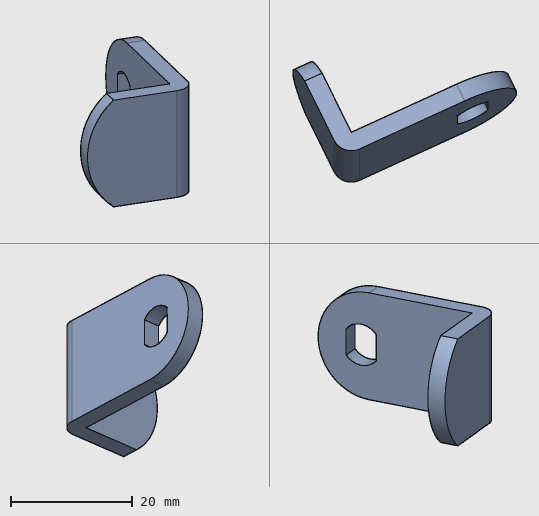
import cadquery as cq
import math

length = 31.8
width = 19.0
flange_reach = 19.0
thickness = 3.18
bend_radius = 3.18

end_radius = width / 2
flange_tip_radius = 12.08

hole_diameter = 7.25
hole_flat_width = 5.55
hole_from_end = 8.0

half_width = width / 2
tip_height = flange_tip_radius - math.sqrt(flange_tip_radius**2 - half_width**2)


def make_long_leg():
    """Plate in the XZ plane with a semicircular free end at X = 0."""
    return (
        cq.Workplane("XZ")
        .moveTo(length, -half_width)
        .lineTo(end_radius, -half_width)
        .threePointArc((0, 0), (end_radius, half_width))
        .lineTo(length, half_width)
        .close()
        .extrude(thickness)
    )


def make_flange():
    """Plate in the YZ plane with a shallow arc at its free end."""
    shoulder = -flange_reach + tip_height
    return (
        cq.Workplane("YZ", origin=(length - thickness, 0, 0))
        .moveTo(0, -half_width)
        .lineTo(shoulder, -half_width)
        .threePointArc((-flange_reach, 0), (shoulder, half_width))
        .lineTo(0, half_width)
        .close()
        .extrude(thickness)
    )


def make_hole():
    """Round cutter trimmed by two vertical flats."""
    cutter = cq.Workplane("XZ").circle(hole_diameter / 2).extrude(thickness)
    flats = cq.Workplane("XZ").rect(hole_flat_width, hole_diameter).extrude(thickness)
    return cutter.intersect(flats).translate((hole_from_end, 0, 0))


bracket = make_long_leg().union(make_flange())
bracket = bracket.edges(cq.selectors.NearestToPointSelector((length, 0, 0))).fillet(bend_radius)
result = bracket.cut(make_hole())